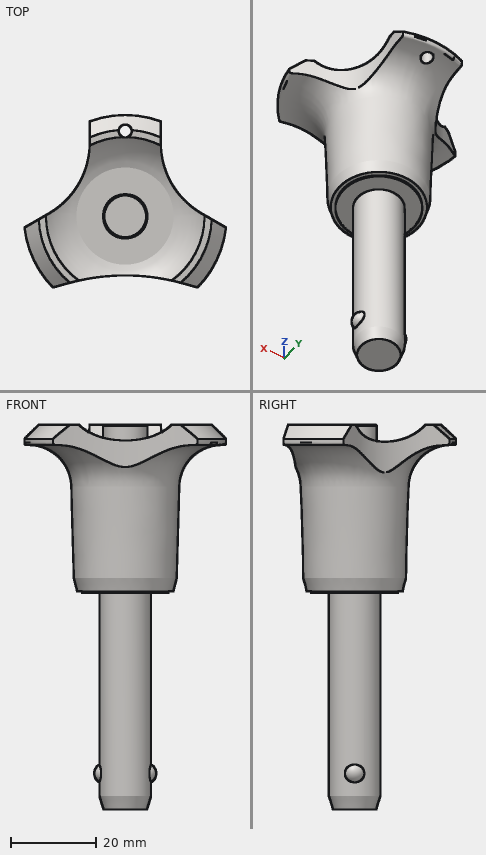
import cadquery as cq
import math


shank_length = 50.8
shank_radius = 6.08
tip_radius = 5.1
tip_length = 3.2
ball_radius = 2.4
ball_reach = 7.3
ball_height = 8.5

shoulder_radius = 10.2
shoulder_step = 0.4
sleeve_base_radius = 11.3
sleeve_low_radius = 12.1
sleeve_low_z = 3.5
sleeve_top_radius = 12.7
sleeve_top_z = 24.9

head_top_z = 39.5
flare_radius = 9.8
rim_radius = 23.8
rim_edge_rounding = 0.6
rim_cone_drop = 3.3
rim_outer_land_radius = 20.3
rim_inner_land_radius = 18.6
bowl_depth = 4.6
bowl_floor_radius = 11.4
bowl_wall_mid_radius = 16.2

rear_lobe_half_width = 8.37
side_scoop_corner_y = 6.2
side_scoop_slope = 30.0
side_scoop_radius = 19.0
front_scoop_corner_y = -12.0
front_scoop_slope = 15.5
front_scoop_radius = 50.0
scoop_reach = 40.0

lanyard_hole_radius = 1.5
lanyard_hole_y = 20.0
button_radius = 5.2
button_chamfer = 0.3


def make_pin():
    pin = cq.Workplane("XZ").polyline([
        (0, sleeve_low_z),
        (shank_radius, sleeve_low_z),
        (shank_radius, tip_length - shank_length),
        (tip_radius, -shank_length),
        (0, -shank_length),
    ]).close().revolve(360, (0, 0), (0, 1))
    ball_x = ball_reach - ball_radius
    ball_z = ball_height - shank_length
    for side in (-1, 1):
        ball = cq.Workplane("XY").sphere(ball_radius).translate((side * ball_x, 0, ball_z))
        pin = pin.union(ball)
    return pin


def make_grip_blank():
    """Full revolved sleeve, flare and bowl, before the finger scoops are cut."""
    flare_centre_r = sleeve_top_radius + flare_radius
    flare_mid = (
        flare_centre_r - flare_radius * math.cos(math.pi / 4),
        sleeve_top_z + flare_radius * math.sin(math.pi / 4),
    )
    flare_end_z = sleeve_top_z + flare_radius
    cone_z = head_top_z - rim_cone_drop
    floor_z = head_top_z - bowl_depth
    wall_mid_z = head_top_z - bowl_depth / 2
    return (
        cq.Workplane("XZ")
        .moveTo(0, 0)
        .lineTo(shoulder_radius, 0)
        .lineTo(shoulder_radius, shoulder_step)
        .lineTo(sleeve_base_radius, shoulder_step)
        .lineTo(sleeve_low_radius, sleeve_low_z)
        .lineTo(sleeve_top_radius, sleeve_top_z)
        .threePointArc(flare_mid, (flare_centre_r, flare_end_z))
        .lineTo(rim_radius - rim_edge_rounding, flare_end_z)
        .radiusArc((rim_radius, flare_end_z + rim_edge_rounding), -rim_edge_rounding)
        .lineTo(rim_radius, cone_z)
        .lineTo(rim_outer_land_radius, head_top_z)
        .lineTo(rim_inner_land_radius, head_top_z)
        .threePointArc((bowl_wall_mid_radius, wall_mid_z), (bowl_floor_radius, floor_z))
        .lineTo(0, floor_z)
        .close()
        .revolve(360, (0, 0), (0, 1))
    )


def make_scoop(corner, directions, radius):
    """Wedge opening outward from a corner along two directions, its corner rounded."""
    start = cq.Vector(*corner)
    first_arm, second_arm = [
        cq.Vector(math.cos(math.radians(angle)), math.sin(math.radians(angle))) * scoop_reach
        for angle in directions
    ]
    outline = [start, start + first_arm, start + first_arm + second_arm, start + second_arm]
    wedge = cq.Workplane("XY").polyline(outline).close().extrude(head_top_z)
    corner_edge = cq.selectors.NearestToPointSelector((*corner, head_top_z / 2))
    return wedge.edges(corner_edge).fillet(radius)


def cut_scoops(body):
    side_corner = (rear_lobe_half_width, side_scoop_corner_y)
    right_scoop = make_scoop(side_corner, (90, -side_scoop_slope), side_scoop_radius)
    left_scoop = right_scoop.mirror("YZ")
    front_scoop = make_scoop(
        (0, front_scoop_corner_y),
        (-front_scoop_slope, front_scoop_slope - 180),
        front_scoop_radius,
    )
    return body.cut(right_scoop).cut(left_scoop).cut(front_scoop)


def make_button():
    floor_z = head_top_z - bowl_depth
    button = cq.Workplane("XY").workplane(offset=floor_z).circle(button_radius).extrude(bowl_depth)
    return button.faces(">Z").chamfer(button_chamfer)


def make_lanyard_hole():
    return cq.Workplane("XY").center(0, lanyard_hole_y).circle(lanyard_hole_radius).extrude(head_top_z)


grip = cut_scoops(make_grip_blank()).cut(make_lanyard_hole())
result = grip.union(make_pin()).union(make_button())